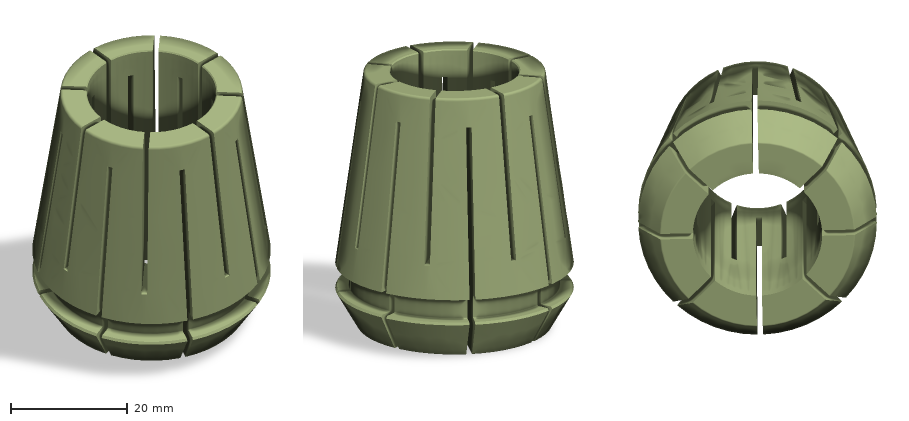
import cadquery as cq
import math

total_height = 46.0
max_diameter = 41.0
bore_diameter = 22.23
max_radius = max_diameter / 2
bore_radius = bore_diameter / 2
bore_chamfer = 0.2

cone_half_angle = 8.0
cone_base_z = 11.15
cone_height = total_height - cone_base_z
cone_top_radius = max_radius - cone_height * math.tan(math.radians(cone_half_angle))
cone_top_fillet = 0.5

groove_bottom_z = 7.0
groove_radius = 18.1
groove_fillet = 0.2

nose_half_angle = 30.0
rim_bevel_width = 0.3
rim_bevel_height = 0.4
nose_top_z = groove_bottom_z - rim_bevel_height
nose_bottom_radius = max_radius - nose_top_z * math.tan(math.radians(nose_half_angle))
nose_edge_fillet = 0.3

slit_width = 1.0
slits_per_end = 8
slit_pitch_angle = 360 / slits_per_end
nose_slit_top_z = 41.0
top_slit_bottom_z = 17.0

innermost_edge = cq.selectors.RadiusNthSelector(0)
outermost_edge = cq.selectors.RadiusNthSelector(-1)


def collet_body():
    """Ring section revolved about Z, leaving the bore open."""
    return (
        cq.Workplane("XZ")
        .moveTo(bore_radius, 0)
        .lineTo(nose_bottom_radius, 0)
        .lineTo(max_radius, nose_top_z)
        .lineTo(max_radius - rim_bevel_width, groove_bottom_z)
        .lineTo(groove_radius, groove_bottom_z)
        .lineTo(groove_radius, cone_base_z)
        .lineTo(max_radius, cone_base_z)
        .lineTo(cone_top_radius, total_height)
        .lineTo(bore_radius, total_height)
        .close()
        .revolve(360, (0, 0, 0), (0, 1, 0))
    )


def fillet_groove_corners(body):
    """Round both inner corners of the extraction groove."""
    groove_zone = cq.selectors.BoxSelector(
        (-max_radius, -max_radius, groove_bottom_z - groove_fillet),
        (max_radius, max_radius, cone_base_z + groove_fillet),
    )
    corners = body.edges("%CIRCLE").edges(groove_zone).edges(innermost_edge)
    return corners.fillet(groove_fillet)


def break_end_edges(body):
    """Round the outer edge of each end and chamfer the upper bore mouth."""
    body = body.faces("<Z").edges(outermost_edge).fillet(nose_edge_fillet)
    body = body.faces(">Z").edges(outermost_edge).fillet(cone_top_fillet)
    return body.faces(">Z").edges(innermost_edge).chamfer(bore_chamfer)


def cut_slits(body, bottom_z, top_z, first_angle):
    """Cut evenly spaced radial slits from the bore out through the wall."""
    for index in range(slits_per_end):
        slit = (
            cq.Workplane("XY")
            .workplane(offset=bottom_z)
            .center(max_radius / 2, 0)
            .rect(max_radius, slit_width)
            .extrude(top_z - bottom_z)
            .rotate((0, 0, 0), (0, 0, 1), first_angle + index * slit_pitch_angle)
        )
        body = body.cut(slit)
    return body


result = collet_body()
result = fillet_groove_corners(result)
result = break_end_edges(result)
result = cut_slits(result, 0, nose_slit_top_z, 0)
result = cut_slits(result, top_slit_bottom_z, total_height, slit_pitch_angle / 2)